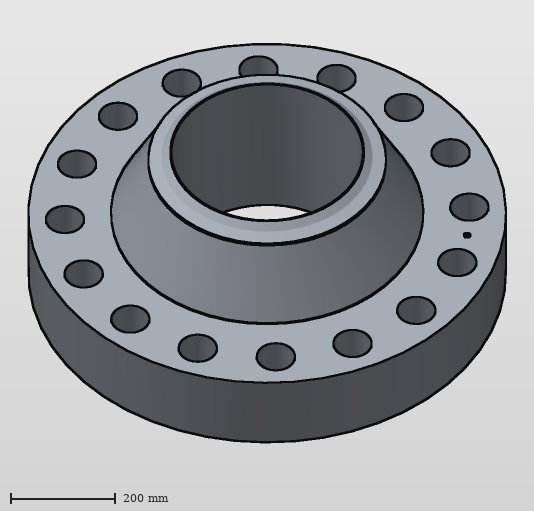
import cadquery as cq
import math

flange_diameter = 914.0
flange_thickness = 162.0
overall_height = 327.0
bore_diameter = 367.0

bolt_count = 16
bolt_circle_diameter = 774.0
bolt_hole_diameter = 73.0

small_hole_diameter = 8.0
small_hole_depth = 18.0
countersink_diameter = 13.0
countersink_depth = (countersink_diameter - small_hole_diameter) / 2
drill_point_angle = 118.0

hub_base_diameter = 598.0
hub_collar_height = 3.0
rim_diameter = 455.0
rim_height = 5.5

shoulder_height = 5.5
bevel_height = 13.0
bevel_base_diameter = 404.0
bevel_root_radius = 4.0
land_diameter = 371.0

bolt_circle_radius = bolt_circle_diameter / 2
bolt_pitch_angle = 360.0 / bolt_count
bevel_base_z = overall_height - bevel_height
rim_top_z = bevel_base_z - shoulder_height
rim_base_z = rim_top_z - rim_height


def revolve_about_z(section):
    """Turn a closed half section, drawn in the XZ plane, about the Z axis."""
    return section.close().revolve(360, (0, 0, 0), (0, 1, 0))


def flange_body():
    """Flange ring, hub and bore turned as one piece, with a rounded root below the bevel."""
    section = (
        cq.Workplane("XZ")
        .moveTo(bore_diameter / 2, 0)
        .lineTo(flange_diameter / 2, 0)
        .lineTo(flange_diameter / 2, flange_thickness)
        .lineTo(hub_base_diameter / 2, flange_thickness)
        .lineTo(hub_base_diameter / 2, flange_thickness + hub_collar_height)
        .lineTo(rim_diameter / 2, rim_base_z)
        .lineTo(rim_diameter / 2, rim_top_z)
        .lineTo(bevel_base_diameter / 2, bevel_base_z)
        .lineTo(land_diameter / 2, overall_height)
        .lineTo(bore_diameter / 2, overall_height)
    )
    body = revolve_about_z(section)
    root_circle = body.edges("%CIRCLE").filter(lambda edge: math.isclose(edge.Center().z, bevel_base_z))
    return root_circle.fillet(bevel_root_radius)


def bolt_holes():
    """Ring of through holes with the first one on +X."""
    return (
        cq.Workplane("XY")
        .polarArray(bolt_circle_radius, 0, 360, bolt_count)
        .circle(bolt_hole_diameter / 2)
        .extrude(flange_thickness)
    )


def small_hole():
    """Countersunk, drill-pointed hole in the flange top, half a bolt pitch from +X."""
    hole_radius = small_hole_diameter / 2
    point_depth = hole_radius / math.tan(math.radians(drill_point_angle / 2))
    section = (
        cq.Workplane("XZ")
        .moveTo(0, 0)
        .lineTo(countersink_diameter / 2, 0)
        .lineTo(hole_radius, -countersink_depth)
        .lineTo(hole_radius, -small_hole_depth)
        .lineTo(0, -small_hole_depth - point_depth)
    )
    return (
        revolve_about_z(section)
        .translate((bolt_circle_radius, 0, flange_thickness))
        .rotate((0, 0, 0), (0, 0, 1), bolt_pitch_angle / 2)
    )


result = flange_body().cut(bolt_holes()).cut(small_hole())